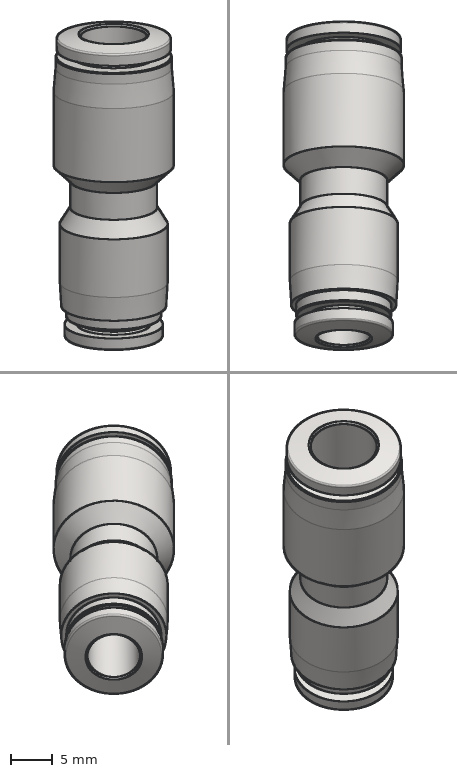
import cadquery as cq
import math

LENGTH = 38.4

LARGE_BODY_DIA = 14.5
LARGE_RIM_DIA = 14.0
LARGE_CAP_DIA = 13.8
LARGE_NECK_DIA = 9.95
LARGE_FLARE_DIA = 10.5
LARGE_BORE_DIA = 7.95
LARGE_MOUTH_DIA = 8.45

SMALL_BODY_DIA = 13.0
SMALL_TAPER_DIA = 12.67
SMALL_COLLAR_DIA = 11.5
SMALL_CAP_DIA = 11.85
SMALL_NECK_DIA = 8.35
SMALL_FLARE_DIA = 8.8
SMALL_BORE_DIA = 6.35
SMALL_MOUTH_DIA = 6.8

WAIST_DIA = 10.5
PASSAGE_DIA = 5.0

SMALL_COLLAR_Z = 2.88
SMALL_TAPER_Z = 4.25
SMALL_BODY_Z = 7.25
SMALL_SHOULDER_Z = 14.55
WAIST_BOTTOM_Z = 16.63
WAIST_TOP_Z = 20.0
LARGE_SHOULDER_Z = 21.95
LARGE_BODY_Z = 31.2
LARGE_RIM_Z = 34.2
LARGE_TOP_Z = 35.6

CAP_HEIGHT = 1.92
CAP_FACE_ANGLE = 10.0
CAP_EDGE_ROUND = 0.23
FLARE_HEIGHT = 0.3
BODY_EDGE_CHAMFER = 0.1


def revolve_profile(points):
    """Revolve a closed (radius, height) outline about Z."""
    return cq.Workplane("XZ").polyline(points).close().revolve(360, (0, 0), (0, 1))


def make_body():
    """Stepped outer body with its narrow waist."""
    sections = [
        (0, SMALL_COLLAR_Z),
        (SMALL_COLLAR_DIA, SMALL_COLLAR_Z),
        (SMALL_COLLAR_DIA, SMALL_TAPER_Z),
        (SMALL_TAPER_DIA, SMALL_TAPER_Z),
        (SMALL_BODY_DIA, SMALL_BODY_Z),
        (SMALL_BODY_DIA, SMALL_SHOULDER_Z),
        (WAIST_DIA, WAIST_BOTTOM_Z),
        (WAIST_DIA, WAIST_TOP_Z),
        (LARGE_BODY_DIA, LARGE_SHOULDER_Z),
        (LARGE_BODY_DIA, LARGE_BODY_Z),
        (LARGE_RIM_DIA, LARGE_RIM_Z),
        (LARGE_RIM_DIA, LARGE_TOP_Z),
        (0, LARGE_TOP_Z),
    ]
    body = revolve_profile([(diameter / 2, z) for diameter, z in sections])
    return body.faces("<Z or >Z").edges().chamfer(BODY_EDGE_CHAMFER)


def make_cap(cap_dia, neck_dia, flare_dia, mouth_dia, total_height):
    """Release cap with its face at Z = 0 and its neck reaching up to total_height."""
    cap_radius = cap_dia / 2
    mouth_radius = mouth_dia / 2
    face_drop = (cap_radius - mouth_radius) * math.tan(math.radians(CAP_FACE_ANGLE))
    cap = revolve_profile([
        (0, 0),
        (mouth_radius, 0),
        (cap_radius, face_drop),
        (cap_radius, CAP_HEIGHT),
        (flare_dia / 2, CAP_HEIGHT),
        (neck_dia / 2, CAP_HEIGHT + FLARE_HEIGHT),
        (neck_dia / 2, total_height),
        (0, total_height),
    ])
    face_edge = cq.selectors.BoxSelector(
        (-cap_dia, -cap_dia, face_drop / 2),
        (cap_dia, cap_dia, CAP_HEIGHT / 2),
        boundingbox=True,
    )
    return cap.edges("%CIRCLE").edges(face_edge).fillet(CAP_EDGE_ROUND)


def make_socket(bore_dia, mouth_dia, depth):
    """Tube socket cutter opening at Z = 0 with a 45 degree lead-in."""
    lead_in = (mouth_dia - bore_dia) / 2
    return revolve_profile([
        (0, 0),
        (mouth_dia / 2, 0),
        (bore_dia / 2, lead_in),
        (bore_dia / 2, depth),
        (0, depth),
    ])


def to_top(shape):
    """Turn an end feature over so that its face lies on the top end."""
    return shape.rotate((0, 0, 0), (1, 0, 0), 180).translate((0, 0, LENGTH))


small_cap = make_cap(
    SMALL_CAP_DIA, SMALL_NECK_DIA, SMALL_FLARE_DIA, SMALL_MOUTH_DIA, SMALL_TAPER_Z
)
large_cap = make_cap(
    LARGE_CAP_DIA, LARGE_NECK_DIA, LARGE_FLARE_DIA, LARGE_MOUTH_DIA, LENGTH - LARGE_RIM_Z
)
outside = make_body().union(small_cap).union(to_top(large_cap))

small_socket = make_socket(SMALL_BORE_DIA, SMALL_MOUTH_DIA, SMALL_SHOULDER_Z)
large_socket = make_socket(LARGE_BORE_DIA, LARGE_MOUTH_DIA, LENGTH - LARGE_SHOULDER_Z)
passage = cq.Workplane("XY").circle(PASSAGE_DIA / 2).extrude(LENGTH)

result = outside.cut(small_socket).cut(to_top(large_socket)).cut(passage)